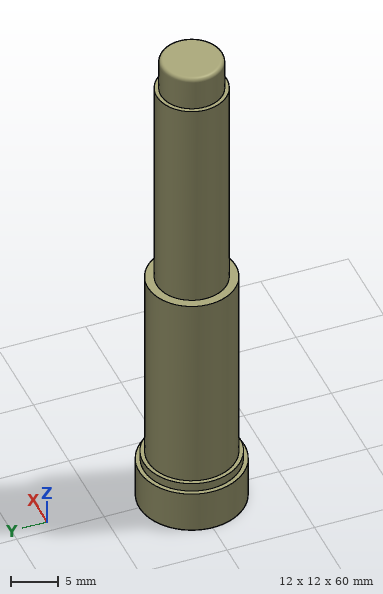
import cadquery as cq

total_height = 60.0

head_diameter = 12.0
collar_diameter = 11.0
body_diameter = 10.0
shank_diameter = 8.0
tip_diameter = 7.0

head_top = 5.0
collar_top = 6.0
body_top = 30.0
shank_top = 56.0

tip_fillet = 0.5


def cylinder(diameter, bottom, top):
    """Upright cylinder on the Z axis between two heights."""
    return cq.Workplane("XY").workplane(offset=bottom).circle(diameter / 2).extrude(top - bottom)


head = cylinder(head_diameter, 0, head_top)
collar = cylinder(collar_diameter, head_top, collar_top)
body = cylinder(body_diameter, collar_top, body_top)
shank = cylinder(shank_diameter, body_top, shank_top)
tip = cylinder(tip_diameter, shank_top, total_height).faces(">Z").edges().fillet(tip_fillet)

result = head.union(collar).union(body).union(shank).union(tip)